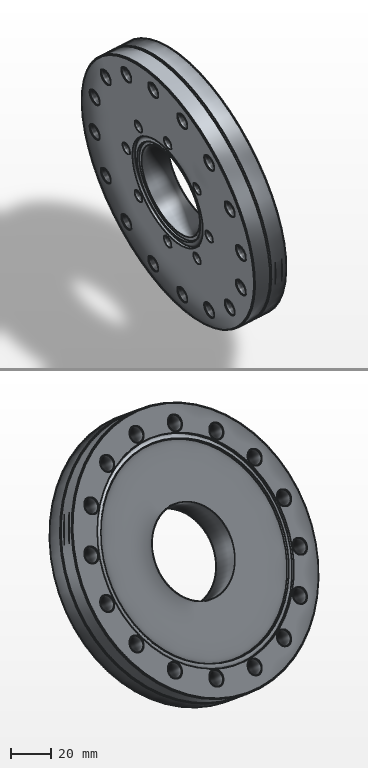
import cadquery as cq
import math

outer_diameter = 151.6
thickness = 19.8
edge_chamfer = 0.5
bore_diameter = 50.8

rim_groove_width = 1.0
rim_groove_depth = 0.3

front_recess_diameter = 61.72
front_knife_diameter = 55.4
front_land_depth = 1.8

knife_tip_depth = 0.6
knife_slope = math.radians(20)
knife_inner_run = 0.3

back_recess_diameter = 120.6
back_knife_diameter = 115.3
back_land_depth = 1.8

clamp_hole_diameter = 8.4
clamp_circle_diameter = 130.3
clamp_hole_count = 16
clamp_hole_chamfer = 0.25

tapped_hole_diameter = 6.65
tapped_circle_diameter = 72.4
tapped_hole_count = 8
tapped_hole_depth = 12.0
drill_point_angle = math.radians(118)

rim_flat_width = 4.0
rim_flat_depth = 0.4
rim_flat_offset = thickness / 4

outer_radius = outer_diameter / 2
front_y = -thickness / 2
back_y = thickness / 2


def revolve_about_y(points):
    """Solid of revolution from (radius, y) points."""
    return cq.Workplane("XY").polyline(points).close().revolve(360, (0, 0, 0), (0, 1, 0))


def flange_blank():
    half_groove = rim_groove_width / 2
    section = (
        cq.Workplane("YZ")
        .moveTo(front_y, 0)
        .lineTo(front_y, outer_radius - edge_chamfer)
        .lineTo(front_y + edge_chamfer, outer_radius)
        .lineTo(-half_groove, outer_radius)
        .threePointArc((0, outer_radius - rim_groove_depth), (half_groove, outer_radius))
        .lineTo(back_y - edge_chamfer, outer_radius)
        .lineTo(back_y, outer_radius - edge_chamfer)
        .lineTo(back_y, 0)
        .close()
    )
    return section.revolve(360, (0, 0, 0), (1, 0, 0))


def seal_recess(face_y, inward, recess_diameter, knife_diameter, land_depth):
    """Material removed at a sealing face, leaving a sloped knife edge inside the recess."""
    recess_radius = recess_diameter / 2
    knife_radius = knife_diameter / 2
    groove_depth = knife_tip_depth + (recess_radius - knife_radius) * math.tan(knife_slope)
    points = [
        (0, face_y),
        (recess_radius, face_y),
        (recess_radius, face_y + inward * groove_depth),
        (knife_radius, face_y + inward * knife_tip_depth),
        (knife_radius - knife_inner_run, face_y + inward * land_depth),
        (0, face_y + inward * land_depth),
    ]
    return revolve_about_y(points)


def front_face_plane():
    """Plane on the front face whose normal points into the flange (+Y)."""
    return cq.Workplane(cq.Plane(origin=(0, front_y, 0), xDir=(1, 0, 0), normal=(0, 1, 0)))


def bore():
    return front_face_plane().circle(bore_diameter / 2).extrude(thickness)


def holes_on_circle(hole, circle_diameter, count, start_angle):
    """Copies of a hole on the Y axis, evenly spaced on a circle about that axis."""
    first_hole = hole.translate((circle_diameter / 2, 0, 0))
    holes = cq.Workplane("XY")
    for index in range(count):
        angle = start_angle + index * 360 / count
        holes = holes.add(first_hole.rotate((0, 0, 0), (0, 1, 0), angle))
    return holes.combine()


def clamp_holes():
    hole_radius = clamp_hole_diameter / 2
    mouth_radius = hole_radius + clamp_hole_chamfer
    hole = revolve_about_y([
        (0, front_y),
        (mouth_radius, front_y),
        (hole_radius, front_y + clamp_hole_chamfer),
        (hole_radius, back_y - clamp_hole_chamfer),
        (mouth_radius, back_y),
        (0, back_y),
    ])
    half_pitch = 180 / clamp_hole_count
    return holes_on_circle(hole, clamp_circle_diameter, clamp_hole_count, half_pitch)


def tapped_holes():
    hole_radius = tapped_hole_diameter / 2
    point_length = hole_radius / math.tan(drill_point_angle / 2)
    hole_bottom = front_y + tapped_hole_depth
    hole = revolve_about_y([
        (0, front_y),
        (hole_radius, front_y),
        (hole_radius, hole_bottom),
        (0, hole_bottom + point_length),
    ])
    return holes_on_circle(hole, tapped_circle_diameter, tapped_hole_count, 0)


def rim_flat():
    flat_x = outer_radius - rim_flat_depth
    return (
        cq.Workplane("XY")
        .box(rim_flat_depth, rim_flat_width, outer_radius, centered=(False, True, True))
        .translate((flat_x, rim_flat_offset, 0))
    )


result = (
    flange_blank()
    .cut(seal_recess(front_y, 1, front_recess_diameter, front_knife_diameter, front_land_depth))
    .cut(seal_recess(back_y, -1, back_recess_diameter, back_knife_diameter, back_land_depth))
    .cut(bore())
    .cut(clamp_holes())
    .cut(tapped_holes())
    .cut(rim_flat())
)